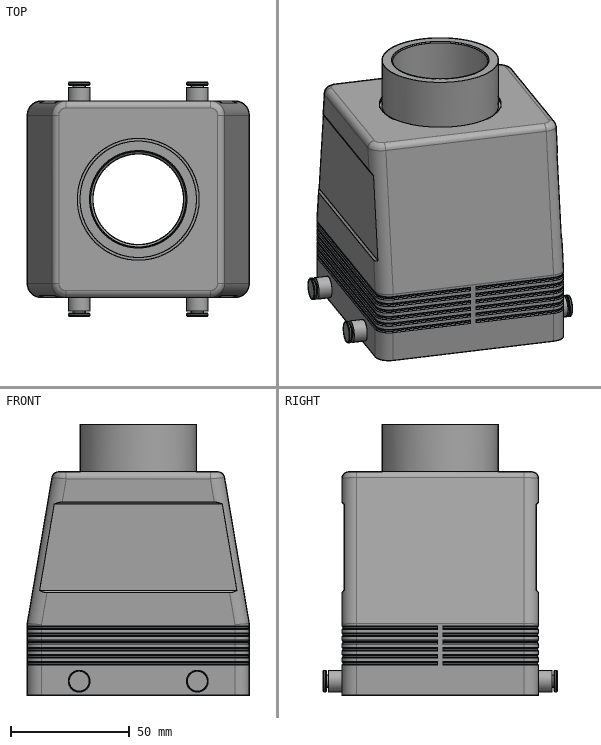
import cadquery as cq
import math

width = 93.5
depth = 82.8
total_height = 114.0
deck_height = 94.0
shoulder_height = 30.2
corner_radius = 6.0
top_round = 3.0
side_slope = 9.6

collar_diameter = 49.0
bore_diameter = 40.1
throat_diameter = 38.1
bore_chamfer = 0.5
seat_top = 95.9
seat_radius = 2.0
collar_recess_diameter = 51.3
collar_recess_depth = 1.1

groove_count = 6
first_groove_height = 13.5
last_groove_height = 28.4
groove_mouth = 1.5
groove_depth = 0.5
groove_gap = 2.5

panel_bottom = 43.2
panel_top = 81.3
panel_depth = 0.9

pin_span = 98.5
pin_diameter = 9.1
pin_spacing = 49.7
pin_height = 5.9
pin_head_thickness = 1.4
pin_neck_diameter = 5.2
pin_neck_length = 0.8
pin_head_chamfer = 0.3


def make_hood():
    """Straight base with sides that lean in above the shoulder."""
    half_width = width / 2
    top_half_width = half_width - (deck_height - shoulder_height) * math.tan(math.radians(side_slope))
    outline = [
        (-half_width, 0),
        (half_width, 0),
        (half_width, shoulder_height),
        (top_half_width, deck_height),
        (-top_half_width, deck_height),
        (-half_width, shoulder_height),
    ]
    hood = cq.Workplane("XZ").polyline(outline).close().extrude(depth / 2, both=True)
    hood = hood.edges("not(#Z)").fillet(corner_radius)
    return hood.faces(">Z").edges().fillet(top_round)


def make_panels():
    """Cutters with sloping ends, as wide as the hood."""
    face = depth / 2
    floor = face - panel_depth
    outline = [
        (face, panel_bottom),
        (floor, panel_bottom + panel_depth),
        (floor, panel_top - panel_depth),
        (face, panel_top),
    ]
    cutter = cq.Workplane("YZ").polyline(outline).close().extrude(width / 2, both=True)
    return cutter.union(cutter.mirror("XZ"))


def slab(inset, bottom, top):
    """Block with the plan shape of the hood base, shrunk by inset."""
    level = cq.Workplane("XY", origin=(0, 0, bottom))
    block = level.rect(width - 2 * inset, depth - 2 * inset).extrude(top - bottom)
    return block.edges("|Z").fillet(corner_radius - inset)


def make_groove(height):
    """Ring cutter with a trapezoid section, interrupted in the middle of the X sides."""
    half_mouth = groove_mouth / 2
    half_floor = half_mouth - groove_depth
    bottom = height - half_mouth
    top = height + half_mouth
    lower_flank = slab(0, bottom - groove_mouth, height - half_floor).faces(">Z").chamfer(groove_depth)
    upper_flank = slab(0, height + half_floor, top + groove_mouth).faces("<Z").chamfer(groove_depth)
    core = slab(groove_depth, bottom, top)
    strip = cq.Workplane("XY", origin=(0, 0, height)).box(width, groove_gap, groove_mouth)
    return slab(0, bottom, top).cut(core).cut(lower_flank).cut(upper_flank).cut(strip)


def make_pin(x, side):
    """A headed pin on one Y side; side is -1 or 1."""
    head_base = pin_span / 2 - pin_head_thickness
    neck_base = head_base - pin_neck_length
    root = depth / 2 - corner_radius
    radius = pin_diameter / 2
    profile = [
        (0, root),
        (radius, root),
        (radius, neck_base),
        (pin_neck_diameter / 2, neck_base),
        (pin_neck_diameter / 2, head_base),
        (radius - pin_head_chamfer, head_base),
        (radius, head_base + pin_head_chamfer),
        (radius, pin_span / 2 - pin_head_chamfer),
        (radius - pin_head_chamfer, pin_span / 2),
        (0, pin_span / 2),
    ]
    pin = cq.Workplane("XY").polyline(profile).close().revolve(360, (0, 0, 0), (0, 1, 0))
    if side < 0:
        pin = pin.mirror("XZ")
    return pin.translate((x, 0, pin_height))


def disc(diameter, bottom, top):
    """Upright cylinder on the collar axis."""
    return cq.Workplane("XY", origin=(0, 0, bottom)).circle(diameter / 2).extrude(top - bottom)


def make_bore():
    """Through throat, opening into a wider bore over a concave rounded seat."""
    throat = throat_diameter / 2
    bore = bore_diameter / 2
    arc_center = bore - seat_radius
    seat_bottom = seat_top - math.sqrt(seat_radius**2 - (throat - arc_center) ** 2)
    arc_middle_angle = math.asin((seat_top - seat_bottom) / seat_radius) / 2
    arc_middle = (
        arc_center + seat_radius * math.cos(arc_middle_angle),
        seat_top - seat_radius * math.sin(arc_middle_angle),
    )
    profile = (
        cq.Workplane("XZ")
        .moveTo(0, 0)
        .lineTo(throat, 0)
        .lineTo(throat, seat_bottom)
        .threePointArc(arc_middle, (bore, seat_top))
        .lineTo(bore, total_height - bore_chamfer)
        .lineTo(bore + bore_chamfer, total_height)
        .lineTo(0, total_height)
        .close()
    )
    return profile.revolve(360, (0, 0, 0), (0, 1, 0))


result = make_hood().cut(make_panels())

groove_pitch = (last_groove_height - first_groove_height) / (groove_count - 1)
for index in range(groove_count):
    result = result.cut(make_groove(first_groove_height + index * groove_pitch))

for side in (-1, 1):
    for x in (-pin_spacing / 2, pin_spacing / 2):
        result = result.union(make_pin(x, side))

recess_floor = deck_height - collar_recess_depth
result = result.cut(disc(collar_recess_diameter, recess_floor, total_height))
result = result.union(disc(collar_diameter, recess_floor, total_height))
result = result.cut(make_bore())